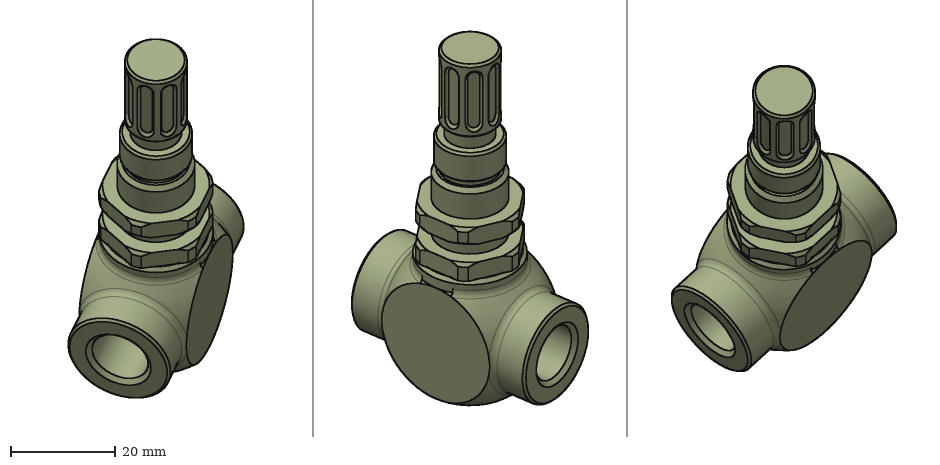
import cadquery as cq
import math

BODY_WIDTH = 22.0
BALL_RADIUS = 17.0
BALL_HEIGHT = 15.0
ROOT_FILLET = 2.0

NECK_RADIUS = BODY_WIDTH / 2
NECK_TOP = 31.0
NECK_CHAMFER = 0.8
NECK_RUNOUT = 7.3

PORT_LENGTH = 42.0
PORT_RADIUS = 21.0 / 2
PORT_CHAMFER = 0.5
BORE_DIAMETER = 8.0
THREAD_DIAMETER = 11.5
THREAD_DEPTH = 12.0
MOUTH_DIAMETER = 13.3

HEX_ACROSS_FLATS = 20.0
HEX_CORNER_DIAMETER = 22.0
HEX_THICKNESS = 4.0
HEX_CHAMFER = 0.7
LOCK_NUT_BOTTOM = 39.15

EDGE_CHAMFER = 0.5
SLEEVE_DIAMETER = 15.0
SLEEVE_TOP = 49.9
SLEEVE_CHAMFER = 0.9
GROOVE_DIAMETER = 12.0
COLLAR_DIAMETER = 14.0
COLLAR_BOTTOM = 51.2
COLLAR_TOP = 57.95
STEM_DIAMETER = 10.0
KNOB_DIAMETER = 12.0
KNOB_BOTTOM = 61.0
KNOB_TOP = 78.0

GRIP_COUNT = 8
GRIP_WIDTH = 3.9
GRIP_LENGTH = 14.2
GRIP_CENTRE = 69.5
GRIP_DEPTH = 0.6
GRIP_WALL_ANGLE = 45


def rod(diameter, bottom, top):
    """Upright cylinder on the Z axis."""
    return cq.Workplane("XY").workplane(offset=bottom).circle(diameter / 2).extrude(top - bottom)


def branch(radius, reach, chamfer):
    """Round branch up from the ball centre, filleted into the ball and chamfered at its end."""
    fillet_x = radius + ROOT_FILLET
    fillet_z = math.sqrt((BALL_RADIUS + ROOT_FILLET) ** 2 - fillet_x ** 2)
    on_ball = BALL_RADIUS / (BALL_RADIUS + ROOT_FILLET)
    middle_angle = (math.pi + math.atan2(-fillet_z, -fillet_x) % (2 * math.pi)) / 2
    arc_middle = (
        fillet_x + ROOT_FILLET * math.cos(middle_angle),
        fillet_z + ROOT_FILLET * math.sin(middle_angle),
    )
    return (
        cq.Workplane("XZ")
        .lineTo(fillet_x * on_ball, fillet_z * on_ball)
        .threePointArc(arc_middle, (radius, fillet_z))
        .lineTo(radius, reach - chamfer)
        .lineTo(radius - chamfer, reach)
        .lineTo(0, reach)
        .close()
        .revolve(360, (0, 0, 0), (0, 1, 0))
    )


def port_cutter():
    """Through bore with a threaded hole and a conical mouth at each end, along Z."""
    end = PORT_LENGTH / 2
    mouth_depth = (MOUTH_DIAMETER - THREAD_DIAMETER) / 2
    half = (
        cq.Workplane("XZ")
        .lineTo(BORE_DIAMETER / 2, 0)
        .lineTo(BORE_DIAMETER / 2, end - THREAD_DEPTH)
        .lineTo(THREAD_DIAMETER / 2, end - THREAD_DEPTH)
        .lineTo(THREAD_DIAMETER / 2, end - mouth_depth)
        .lineTo(MOUTH_DIAMETER / 2, end)
        .lineTo(0, end)
        .close()
        .revolve(360, (0, 0, 0), (0, 1, 0))
    )
    return half.union(half.mirror("XY"))


def neck_branch():
    """Neck along Z, its fillet left out where the neck runs tangent to the flat sides."""
    height = NECK_TOP - BALL_HEIGHT
    runout = cq.Workplane("XY").box(2 * BALL_RADIUS, NECK_RUNOUT, 2 * height)
    plain_neck = rod(2 * NECK_RADIUS, 0, height).faces(">Z").chamfer(NECK_CHAMFER)
    return branch(NECK_RADIUS, height, NECK_CHAMFER).cut(runout).union(plain_neck)


def make_body():
    """Valve body with its base on Z = 0."""
    port = branch(PORT_RADIUS, PORT_LENGTH / 2, PORT_CHAMFER)
    envelope = (
        cq.Workplane("XY")
        .workplane(offset=-BALL_HEIGHT)
        .rect(BODY_WIDTH, PORT_LENGTH)
        .extrude(NECK_TOP)
    )
    body = cq.Workplane("XY").sphere(BALL_RADIUS).union(neck_branch())
    for tilt in (90, -90):
        body = body.union(port.rotate((0, 0, 0), (1, 0, 0), tilt))
    body = body.intersect(envelope)
    body = body.cut(port_cutter().rotate((0, 0, 0), (1, 0, 0), 90))
    return body.translate((0, 0, BALL_HEIGHT))


def make_nut(bottom, chamfered_ends):
    """Hexagon nut with flats facing +X and -X, its corners turned and chamfered."""
    top = bottom + HEX_THICKNESS
    across_corners = HEX_ACROSS_FLATS / math.cos(math.pi / 6)
    prism = (
        cq.Workplane("XY")
        .workplane(offset=bottom)
        .polygon(6, across_corners)
        .extrude(HEX_THICKNESS)
        .rotate((0, 0, 0), (0, 0, 1), 30)
    )
    turned = rod(HEX_CORNER_DIAMETER, bottom, top).faces(chamfered_ends).chamfer(HEX_CHAMFER)
    return prism.intersect(turned).cut(rod(SLEEVE_DIAMETER, bottom, top))


def grip_cutter():
    """Cutter for the +X grip recess; its floor is concentric with the knob."""
    floor_radius = KNOB_DIAMETER / 2 - GRIP_DEPTH
    start_depth = 2 * GRIP_DEPTH
    narrowing = 2 * start_depth * math.tan(math.radians(GRIP_WALL_ANGLE))
    slot = (
        cq.Workplane("YZ")
        .workplane(offset=KNOB_DIAMETER / 2 - start_depth)
        .center(0, GRIP_CENTRE)
        .slot2D(GRIP_LENGTH - narrowing, GRIP_WIDTH - narrowing, 90)
        .extrude(start_depth + GRIP_DEPTH, taper=-GRIP_WALL_ANGLE)
    )
    return slot.cut(rod(2 * floor_radius, KNOB_BOTTOM, KNOB_TOP))


def make_spindle():
    """Stepped spindle standing on the neck, ending in the knob with its grip recesses."""
    sleeve = rod(SLEEVE_DIAMETER, NECK_TOP, SLEEVE_TOP).faces(">Z").chamfer(SLEEVE_CHAMFER)
    groove = rod(GROOVE_DIAMETER, SLEEVE_TOP, COLLAR_BOTTOM)
    collar = rod(COLLAR_DIAMETER, COLLAR_BOTTOM, COLLAR_TOP).faces("|Z").chamfer(EDGE_CHAMFER)
    stem = rod(STEM_DIAMETER, COLLAR_TOP, KNOB_BOTTOM)
    knob = rod(KNOB_DIAMETER, KNOB_BOTTOM, KNOB_TOP).faces("|Z").chamfer(EDGE_CHAMFER)
    grip = grip_cutter()
    for index in range(GRIP_COUNT):
        knob = knob.cut(grip.rotate((0, 0, 0), (0, 0, 1), index * 360 / GRIP_COUNT))
    return sleeve.union(groove).union(collar).union(stem).union(knob)


body = make_body()
seat_nut = make_nut(NECK_TOP, ">Z")
lock_nut = make_nut(LOCK_NUT_BOTTOM, "|Z")
spindle = make_spindle()

result = cq.Compound.makeCompound([body.val(), seat_nut.val(), lock_nut.val(), spindle.val()])